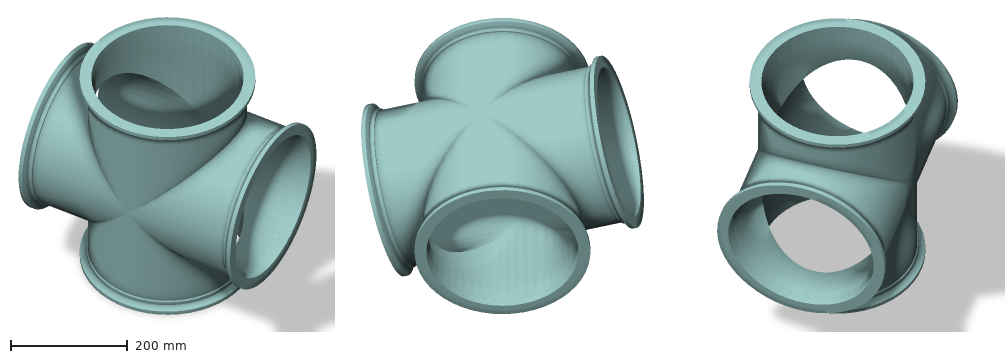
import cadquery as cq

span = 416.0

bore_radius = 261.0 / 2
pipe_radius = 273.0 / 2

rim_radius = 301.0 / 2
neck_radius = 279.0 / 2
rim_depth = 7.5
taper_depth = 12.5
flange_depth = 20.0
socket_start = 15.0
rim_round = 1.2
neck_round = 1.5

pipe_length = span - 2 * socket_start
flange_angles = (0, 90, 180, 270)


def crossed_cylinders(radius, length):
    """Two equal cylinders along X and Z, crossing at the origin."""
    along_x = cq.Workplane("YZ").circle(radius).extrude(length / 2, both=True)
    along_z = cq.Workplane("XY").circle(radius).extrude(length / 2, both=True)
    return along_x.union(along_z)


def make_pipe_cross():
    """Four-way pipe with mitred outer and inner intersections."""
    outside = crossed_cylinders(pipe_radius, pipe_length)
    inside = crossed_cylinders(bore_radius, span)
    return outside.cut(inside)


def make_flange(angle):
    """Socketed clamp flange, made at the +Z end and turned about Y."""
    face = span / 2
    profile = [
        (bore_radius, face),
        (rim_radius, face),
        (rim_radius, face - rim_depth),
        (neck_radius, face - taper_depth),
        (neck_radius, face - flange_depth),
        (pipe_radius, face - flange_depth),
        (pipe_radius, face - socket_start),
        (bore_radius, face - socket_start),
    ]
    flange = cq.Workplane("XZ").polyline(profile).close().revolve(360, (0, 0, 0), (0, 1, 0))

    def edge_at(radius, depth):
        """Select the circular edge of the given radius and depth."""
        reach = 0.05
        height = face - depth
        return cq.selectors.BoxSelector(
            (-radius - reach, -radius - reach, height - reach),
            (radius + reach, radius + reach, height + reach),
            boundingbox=True,
        )

    flange = flange.edges(edge_at(rim_radius, rim_depth)).fillet(rim_round)
    neck_end = edge_at(neck_radius, flange_depth) - edge_at(pipe_radius, flange_depth)
    flange = flange.edges(neck_end).fillet(neck_round)
    return flange.rotate((0, 0, 0), (0, 1, 0), angle)


pipe_cross = make_pipe_cross()
flanges = [make_flange(angle) for angle in flange_angles]

result = cq.Compound.makeCompound([pipe_cross.val(), *[flange.val() for flange in flanges]])